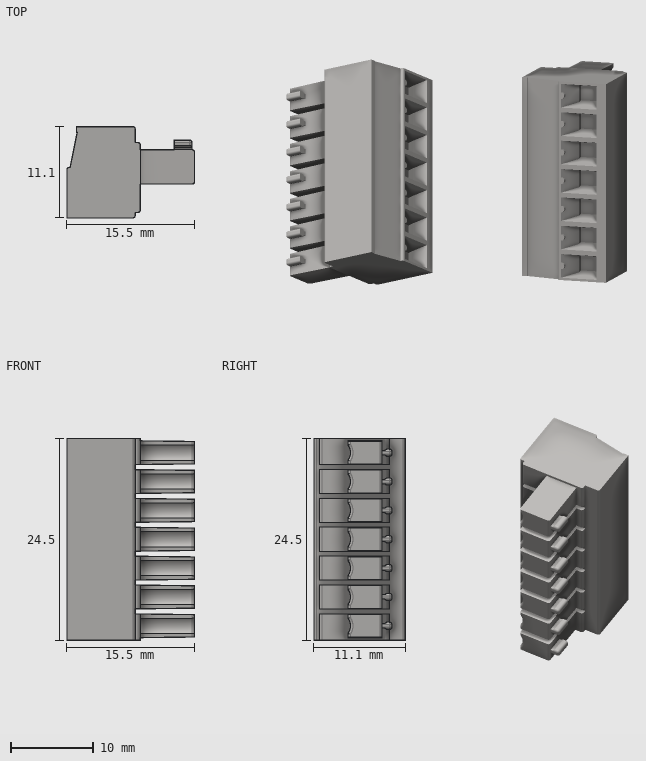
import cadquery as cq
import math


pole_count = 7
length = 24.5
pitch = length / pole_count
pole_heights = [(i + 0.5) * pitch for i in range(pole_count)]

edge_radius = 0.3

width = 11.1
shoulder_x = 8.3
step_x = 8.92
step_y_low = 0.65
step_y_high = 9.16
lip_x = 1.15
lip_thickness = 0.7
slope_top_x = 1.25
slope_bottom_x = 0.4
ledge_y = 6.15

mouth_y_low = 1.2
mouth_y_high = 5.7
mouth_height = 2.92
throat_depth = 1.95
throat_y_low = 1.35
throat_y_high = 4.12
throat_height = 2.1
floor_depth = 2.62
floor_y_high = 4.05
floor_height = mouth_height - (mouth_height - throat_height) * floor_depth / throat_depth
pin_radius = 0.4

finger_tip_x = 15.5
finger_y_low = 4.12
finger_y_high = 8.28
finger_root_height = 2.92
finger_tip_height = 2.75
groove_diameter = 3.0
groove_opening = 1.84

key_start_x = 13.03
key_end_x = 15.2
key_rise = 1.18
neck_half_height = 0.27
head_half_height = 0.45
neck_rise = 0.3
head_rise = 0.55


def make_housing():
    lip_y = width - lip_thickness
    outline = [
        (0, 0),
        (shoulder_x, 0),
        (shoulder_x, step_y_low),
        (step_x, step_y_low),
        (step_x, step_y_high),
        (shoulder_x, step_y_high),
        (shoulder_x, width),
        (lip_x, width),
        (lip_x, lip_y),
        (slope_top_x, lip_y),
        (slope_bottom_x, ledge_y),
        (0, ledge_y),
    ]
    rounded_corners = [
        (shoulder_x, 0),
        (step_x, step_y_low),
        (step_x, step_y_high),
        (shoulder_x, width),
        (0, ledge_y),
    ]
    housing = cq.Workplane("XY").polyline(outline).close().extrude(length)
    for x, y in rounded_corners:
        corner = cq.selectors.NearestToPointSelector((x, y, length / 2))
        housing = housing.edges("|Z").edges(corner).fillet(edge_radius)
    return housing


def make_taper(z, start, end):
    """Loft between two rectangles, each given as (x, y_low, y_high, height)."""
    x_start, y_low, y_high, height = start
    taper = (
        cq.Workplane("YZ", origin=(x_start, 0, 0))
        .center((y_low + y_high) / 2, z)
        .rect(y_high - y_low, height)
    )
    x_end, end_low, end_high, end_height = end
    return (
        taper.workplane(offset=x_end - x_start)
        .center((end_low + end_high - y_low - y_high) / 2, 0)
        .rect(end_high - end_low, end_height)
        .loft(ruled=True)
    )


def make_funnel(z):
    mouth = (0, mouth_y_low, mouth_y_high, mouth_height)
    throat = (throat_depth, throat_y_low, throat_y_high, throat_height)
    floor = (floor_depth, throat_y_low, floor_y_high, floor_height)
    pin = (
        cq.Workplane("YZ")
        .center(mouth_y_high, z)
        .circle(pin_radius)
        .extrude(throat_depth)
    )
    return make_taper(z, mouth, throat).union(make_taper(z, throat, floor)).cut(pin)


def make_finger_blank(z):
    """Tapered bar that starts at the housing shoulder."""
    outline = [
        (shoulder_x, z - finger_root_height / 2),
        (finger_tip_x, z - finger_tip_height / 2),
        (finger_tip_x, z + finger_tip_height / 2),
        (shoulder_x, z + finger_root_height / 2),
    ]
    return (
        cq.Workplane("XZ", origin=(0, finger_y_low, 0))
        .polyline(outline)
        .close()
        .extrude(finger_y_low - finger_y_high)
    )


def make_finger(z):
    radius = groove_diameter / 2
    center_y = finger_y_low - math.sqrt(radius**2 - (groove_opening / 2) ** 2)
    groove = (
        cq.Workplane("YZ", origin=(step_x, 0, 0))
        .center(center_y, z)
        .circle(radius)
        .extrude(finger_tip_x - step_x)
    )
    finger = make_finger_blank(z).cut(groove)
    tip_edges = finger.faces(">X").edges("not |Y")
    return tip_edges.fillet(edge_radius)


def make_key(z):
    root_y = finger_y_high - edge_radius
    upper = [
        (root_y, neck_half_height),
        (finger_y_high + neck_rise, neck_half_height),
        (finger_y_high + head_rise, head_half_height),
        (finger_y_high + key_rise, head_half_height),
    ]
    lower = [(y, -half) for y, half in reversed(upper)]
    key = (
        cq.Workplane("YZ", origin=(key_start_x, 0, z))
        .polyline(upper + lower)
        .close()
        .extrude(key_end_x - key_start_x)
    )
    key = key.faces(">Y").edges("|X").fillet(edge_radius)
    head_zone = cq.selectors.BoxSelector(
        (key_start_x, finger_y_high + head_rise, z - pitch / 2),
        (finger_tip_x, width, z + pitch / 2),
    )
    return key.faces(">X").edges(head_zone).fillet(edge_radius)


def make_slot(z):
    """Gap in the raised step between two neighbouring fingers."""
    return (
        cq.Workplane("XY", origin=(shoulder_x, 0, z))
        .box(step_x - shoulder_x, width, pitch - finger_root_height, centered=(False, False, True))
    )


result = make_housing()
for i in range(1, pole_count):
    result = result.cut(make_slot(i * pitch))
for z in pole_heights:
    result = result.cut(make_funnel(z))
    result = result.union(make_finger(z)).union(make_key(z))